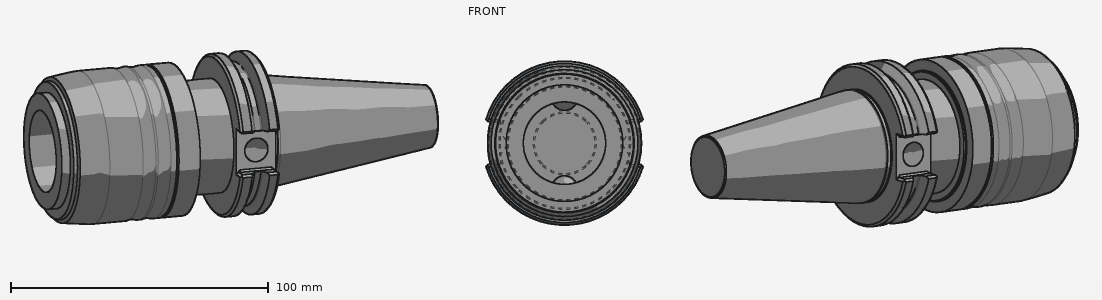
import cadquery as cq
import math

LENGTH = 158.2

TAPER_LENGTH = 68.4
TAPER_RADIUS = 22.2
TAPER_SLOPE = 7 / 48
TAPER_END_CHAMFER = 0.5
GAUGE_Y = LENGTH - TAPER_LENGTH
TAPER_END_RADIUS = TAPER_RADIUS - TAPER_SLOPE * TAPER_LENGTH

GAUGE_BAND = 1.0
RELIEF_RADIUS = 21.8
RELIEF_CHAMFER = 0.3

FLANGE_RADIUS = 31.8
FLANGE_WIDTH = 16.1
FLANGE_FRONT_Y = 70.7
FLANGE_BACK_Y = FLANGE_FRONT_Y + FLANGE_WIDTH
FLANGE_CHAMFER = 1.0
GROOVE_Y = 79.0
GROOVE_FLOOR_RADIUS = 28.2
GROOVE_FLOOR_WIDTH = 3.0
GROOVE_FLANK_ANGLE = 30.0
GROOVE_FILLET = 0.5
GROOVE_MOUTH_WIDTH = GROOVE_FLOOR_WIDTH + 2 * (FLANGE_RADIUS - GROOVE_FLOOR_RADIUS) * math.tan(
    math.radians(GROOVE_FLANK_ANGLE)
)

SLOT_HALF_WIDTH = 8.2
SLOT_FLOOR_X = 25.0
SLOT_FLOOR_BEVEL = 0.8
SLOT_EDGE_CHAMFER = 1.0
CUT_CLEARANCE = 1.6
DIMPLE_RADIUS = 4.7
DIMPLE_DEPTH = 2.8

NECK_RADIUS = 22.3
RING_RADIUS = 25.6
RING_WIDTH = 1.0
RING_CHAMFER = 0.5

NUT_RADIUS = 29.9
NUT_BACK_Y = 54.3
CROWN_START_Y = 17.1
CROWN_END_Y = 5.5
CROWN_END_RADIUS = 28.5
CROWN_BULGE = 0.2
LIP_RADIUS = 27.0
LIP_Y = 4.9
FACE_RADIUS = 26.7
FACE_Y = 3.5
NOSE_RADIUS = 22.6

V_GROOVE_Y = 45.1
V_GROOVE_WIDTH = 1.0
V_GROOVE_DEPTH = 0.5
GRIP_GROOVE_WIDTH = 5.2
GRIP_GROOVE_DEPTH = 0.5
GRIP_GROOVE_CENTRES = (39.5, 33.4)

BORE_RADIUS = 16.0
BORE_DEPTH = 63.3
BALL_RADIUS = 5.0
BALL_PROTRUSION = 3.3
BALL_Y = 39.5


def turned_body():
    """Revolve the outer profile, drawn as (radius, y), about the Y axis."""
    crown_middle = (
        (NUT_RADIUS + CROWN_END_RADIUS) / 2 + CROWN_BULGE,
        (CROWN_START_Y + CROWN_END_Y) / 2,
    )
    profile = (
        cq.Workplane("XY")
        .moveTo(0, 0)
        .lineTo(NOSE_RADIUS, 0)
        .lineTo(NOSE_RADIUS, FACE_Y)
        .lineTo(FACE_RADIUS, FACE_Y)
        .lineTo(LIP_RADIUS, LIP_Y)
        .lineTo(CROWN_END_RADIUS, CROWN_END_Y)
        .threePointArc(crown_middle, (NUT_RADIUS, CROWN_START_Y))
        .lineTo(NUT_RADIUS, NUT_BACK_Y)
        .lineTo(RING_RADIUS, NUT_BACK_Y)
        .lineTo(RING_RADIUS, NUT_BACK_Y + RING_WIDTH - RING_CHAMFER)
        .lineTo(RING_RADIUS - RING_CHAMFER, NUT_BACK_Y + RING_WIDTH)
        .lineTo(NECK_RADIUS, NUT_BACK_Y + RING_WIDTH)
        .lineTo(NECK_RADIUS, FLANGE_FRONT_Y)
        .lineTo(FLANGE_RADIUS - FLANGE_CHAMFER, FLANGE_FRONT_Y)
        .lineTo(FLANGE_RADIUS, FLANGE_FRONT_Y + FLANGE_CHAMFER)
        .lineTo(FLANGE_RADIUS, FLANGE_BACK_Y - FLANGE_CHAMFER)
        .lineTo(FLANGE_RADIUS - FLANGE_CHAMFER, FLANGE_BACK_Y)
        .lineTo(RELIEF_RADIUS + RELIEF_CHAMFER, FLANGE_BACK_Y)
        .lineTo(RELIEF_RADIUS, FLANGE_BACK_Y + RELIEF_CHAMFER)
        .lineTo(RELIEF_RADIUS, GAUGE_Y - GAUGE_BAND)
        .lineTo(TAPER_RADIUS, GAUGE_Y - GAUGE_BAND)
        .lineTo(TAPER_RADIUS, GAUGE_Y)
        .lineTo(TAPER_END_RADIUS + TAPER_SLOPE * TAPER_END_CHAMFER, LENGTH - TAPER_END_CHAMFER)
        .lineTo(TAPER_END_RADIUS - TAPER_END_CHAMFER, LENGTH)
        .lineTo(0, LENGTH)
        .close()
    )
    return profile.revolve(360, (0, 0, 0), (0, 1, 0))


def flange_groove():
    """Ring cut into the flange, with sloping flanks and rounded floor corners."""
    ring = (
        cq.Workplane("XY")
        .moveTo(FLANGE_RADIUS, GROOVE_Y - GROOVE_MOUTH_WIDTH / 2)
        .lineTo(GROOVE_FLOOR_RADIUS, GROOVE_Y - GROOVE_FLOOR_WIDTH / 2)
        .lineTo(GROOVE_FLOOR_RADIUS, GROOVE_Y + GROOVE_FLOOR_WIDTH / 2)
        .lineTo(FLANGE_RADIUS, GROOVE_Y + GROOVE_MOUTH_WIDTH / 2)
        .close()
        .revolve(360, (0, 0, 0), (0, 1, 0))
    )
    middle_radius = (FLANGE_RADIUS + GROOVE_FLOOR_RADIUS) / 2
    floor_corners = ring.edges("%CIRCLE").filter(lambda edge: edge.radius() < middle_radius)
    return floor_corners.fillet(GROOVE_FILLET)


def v_groove():
    """Narrow V-shaped ring cut into the nut."""
    half_width = V_GROOVE_WIDTH / 2
    return (
        cq.Workplane("XY")
        .moveTo(NUT_RADIUS, V_GROOVE_Y - half_width)
        .lineTo(NUT_RADIUS - V_GROOVE_DEPTH, V_GROOVE_Y)
        .lineTo(NUT_RADIUS, V_GROOVE_Y + half_width)
        .close()
        .revolve(360, (0, 0, 0), (0, 1, 0))
    )


def grip_groove(centre_y):
    """Shallow ring of circular-arc section cut into the nut."""
    half_width = GRIP_GROOVE_WIDTH / 2
    return (
        cq.Workplane("XY")
        .moveTo(NUT_RADIUS, centre_y - half_width)
        .threePointArc((NUT_RADIUS - GRIP_GROOVE_DEPTH, centre_y), (NUT_RADIUS, centre_y + half_width))
        .close()
        .revolve(360, (0, 0, 0), (0, 1, 0))
    )


def drive_slot():
    """Cutter for the slot on the +X side: bevelled floor corners, chamfered rims and ends, dimple."""
    outer_x = FLANGE_RADIUS + CUT_CLEARANCE
    rim_z = SLOT_HALF_WIDTH + SLOT_EDGE_CHAMFER
    rim_x = math.sqrt(FLANGE_RADIUS**2 - rim_z**2)
    outer_z = rim_z + outer_x - rim_x
    half_section = [
        (SLOT_FLOOR_X, SLOT_HALF_WIDTH - SLOT_FLOOR_BEVEL),
        (SLOT_FLOOR_X + SLOT_FLOOR_BEVEL, SLOT_HALF_WIDTH),
        (rim_x - SLOT_EDGE_CHAMFER, SLOT_HALF_WIDTH),
        (outer_x, outer_z),
    ]
    section = half_section + [(x, -z) for x, z in reversed(half_section)]
    cutter = (
        cq.Workplane("XZ", origin=(0, FLANGE_FRONT_Y, 0)).polyline(section).close().extrude(-FLANGE_WIDTH)
    )
    for end_y, inward in ((FLANGE_FRONT_Y, 1), (FLANGE_BACK_Y, -1)):
        tip_y = end_y + inward * rim_z
        flare = (
            cq.Workplane("YZ", origin=(SLOT_FLOOR_X, 0, 0))
            .polyline([(end_y, rim_z), (tip_y, 0), (end_y, -rim_z)])
            .close()
            .extrude(outer_x - SLOT_FLOOR_X)
        )
        cutter = cutter.union(flare)
    dimple = cq.Solid.makeCone(
        DIMPLE_RADIUS, 0, DIMPLE_DEPTH, cq.Vector(SLOT_FLOOR_X, GROOVE_Y, 0), cq.Vector(-1, 0, 0)
    )
    return cutter.union(cq.Workplane(dimple))


def bore():
    """Cutter for the blind bore, open at y = 0."""
    return cq.Workplane("XZ").circle(BORE_RADIUS).extrude(-BORE_DEPTH)


def ball(side):
    """Ball set in the bore wall on the +Z (side = 1) or -Z (side = -1) side."""
    centre_z = side * (BORE_RADIUS - BALL_PROTRUSION + BALL_RADIUS)
    return cq.Workplane("XY").sphere(BALL_RADIUS).translate((0, BALL_Y, centre_z))


result = turned_body().cut(flange_groove()).cut(v_groove())
for groove_y in GRIP_GROOVE_CENTRES:
    result = result.cut(grip_groove(groove_y))
result = result.cut(drive_slot()).cut(drive_slot().mirror("YZ"))
result = result.cut(bore()).union(ball(1)).union(ball(-1))